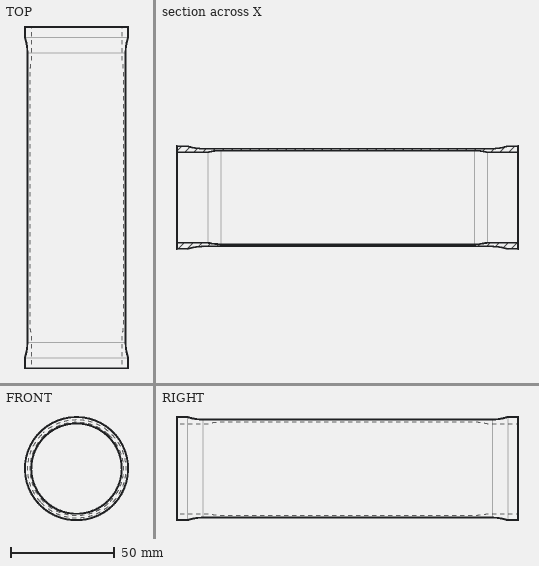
import cadquery as cq
import math

length = 165.0
collar_diameter = 50.0
body_diameter = 47.5
collar_width = 5.1
flare_length = 7.5

mouth_diameter = 43.5
bore_diameter = 45.2
mouth_depth = 15.0
bore_flare_length = 6.3


def stepped_cylinder(end_diameter, middle_diameter, end_width, transition_length):
    """Solid of revolution about Y whose ends meet its middle through arcs tangent to the middle."""
    end_radius = end_diameter / 2
    middle_radius = middle_diameter / 2
    half_length = length / 2
    end_step_y = half_length - end_width
    middle_end_y = end_step_y - transition_length

    radial_step = end_radius - middle_radius
    arc_radius = (transition_length**2 + radial_step**2) / (2 * radial_step)
    half_sweep = math.asin(transition_length / arc_radius) / 2
    arc_mid_y = middle_end_y + arc_radius * math.sin(half_sweep)
    arc_mid_radius = middle_radius + arc_radius * (1 - math.cos(half_sweep))

    return (
        cq.Workplane("YZ")
        .moveTo(-half_length, 0)
        .lineTo(-half_length, end_radius)
        .lineTo(-end_step_y, end_radius)
        .threePointArc((-arc_mid_y, arc_mid_radius), (-middle_end_y, middle_radius))
        .lineTo(middle_end_y, middle_radius)
        .threePointArc((arc_mid_y, arc_mid_radius), (end_step_y, end_radius))
        .lineTo(half_length, end_radius)
        .lineTo(half_length, 0)
        .close()
        .revolve(360, (0, 0, 0), (1, 0, 0))
    )


outside = stepped_cylinder(collar_diameter, body_diameter, collar_width, flare_length)
bore = stepped_cylinder(mouth_diameter, bore_diameter, mouth_depth, bore_flare_length)

result = outside.cut(bore)